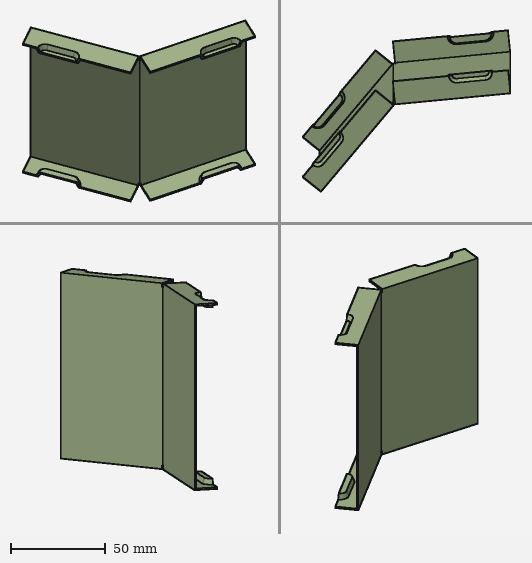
import cadquery as cq
import math

sheet = 1.0
height = 100.0
flange_depth = 12.5
bend_angle = 45.0
overall_x = 113.3
overall_y = 56.0
slope = math.radians(bend_angle)

angled_length = (overall_y - flange_depth) / math.sin(slope)
straight_length = overall_x - angled_length * math.cos(slope) - flange_depth * math.sin(slope)

flange_start = 0.5
relief_depth = 1.9

recess_end_offset = 12.5
recess_spacing = 15.0
recess_depth = 3.0
mouth_radius = 4.0
floor_radius = 2.4
bump_base_radius = 5.2
bump_tip_radius = 3.5


def tapered_slot(center_x, top_z, depth, top_radius, bottom_radius):
    """Slot centred on the flange edge, narrowing from top_z downwards."""
    return (
        cq.Workplane("XY", origin=(center_x, -flange_depth, top_z))
        .slot2D(recess_spacing + 2 * top_radius, 2 * top_radius)
        .workplane(offset=-depth)
        .slot2D(recess_spacing + 2 * bottom_radius, 2 * bottom_radius)
        .loft(ruled=True)
    )


def flange(length):
    """Upper flange with its recess, cut off flush at the flange edge."""
    top = height / 2
    plate = cq.Workplane("XY").box(length - flange_start, flange_depth, sheet, centered=False)
    plate = plate.translate((flange_start, -flange_depth, top - sheet))
    center_x = length - recess_end_offset - recess_spacing / 2
    bump = tapered_slot(center_x, top, recess_depth + sheet, bump_base_radius, bump_tip_radius)
    pocket = tapered_slot(center_x, top, recess_depth, mouth_radius, floor_radius)
    inside_edge = cq.Workplane("XY").box(length, flange_depth, height, centered=(False, False, True))
    inside_edge = inside_edge.translate((0, -flange_depth, 0))
    return plate.union(bump.intersect(inside_edge)).cut(pocket)


def panel(length):
    """Channel running along +X from the bend axis, with its web mitred at the bend."""
    miter = sheet * math.tan(slope / 2)
    web = (
        cq.Workplane("XY")
        .polyline([(0, 0), (length, 0), (length, -sheet), (-miter, -sheet)])
        .close()
        .extrude(height / 2, both=True)
    )
    relief_length = flange_start + miter
    for side in (1, -1):
        relief = cq.Workplane("XY").box(relief_length, 2 * sheet, 2 * relief_depth)
        web = web.cut(relief.translate((flange_start - relief_length / 2, -sheet, side * height / 2)))
    upper = flange(length)
    return web.union(upper).union(upper.mirror("XY"))


straight = panel(straight_length).mirror("YZ")
angled = panel(angled_length).rotate((0, 0, 0), (0, 0, 1), bend_angle)
result = straight.union(angled)